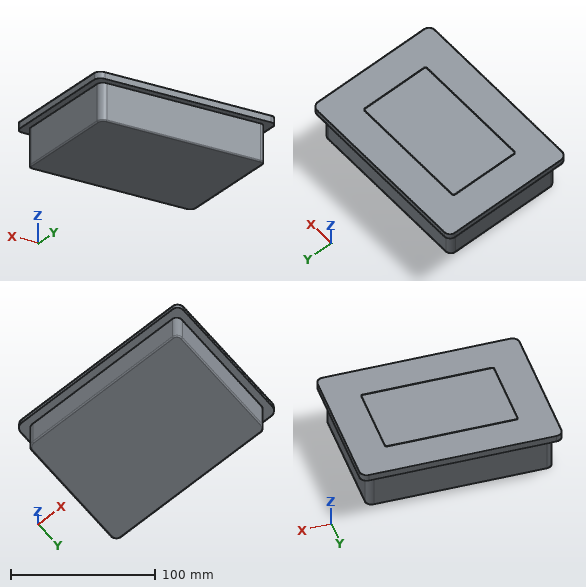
import cadquery as cq

plate_length = 147.0
plate_width = 107.0
plate_thickness = 5.1
plate_corner_radius = 5.3

total_height = 34.0
housing_length = 135.8
housing_width = 95.8
housing_corner_radius = 4.9
housing_bottom_fillet = 1.0
housing_height = total_height - plate_thickness

screen_length = 96.6
screen_width = 56.6
screen_corner_radius = 1.5
screen_depth = 0.6


def rounded_block(length, width, height, corner_radius, base_z):
    """Block centred on the Z axis, standing on base_z, with rounded vertical edges."""
    block = cq.Workplane("XY").box(length, width, height, centered=(True, True, False))
    return block.edges("|Z").fillet(corner_radius).translate((0, 0, base_z))


housing = rounded_block(housing_length, housing_width, housing_height, housing_corner_radius, 0)
housing = housing.faces("<Z").edges().fillet(housing_bottom_fillet)

plate = rounded_block(plate_length, plate_width, plate_thickness, plate_corner_radius, housing_height)

screen_recess = rounded_block(
    screen_length, screen_width, screen_depth, screen_corner_radius, total_height - screen_depth
)

result = housing.union(plate).cut(screen_recess)